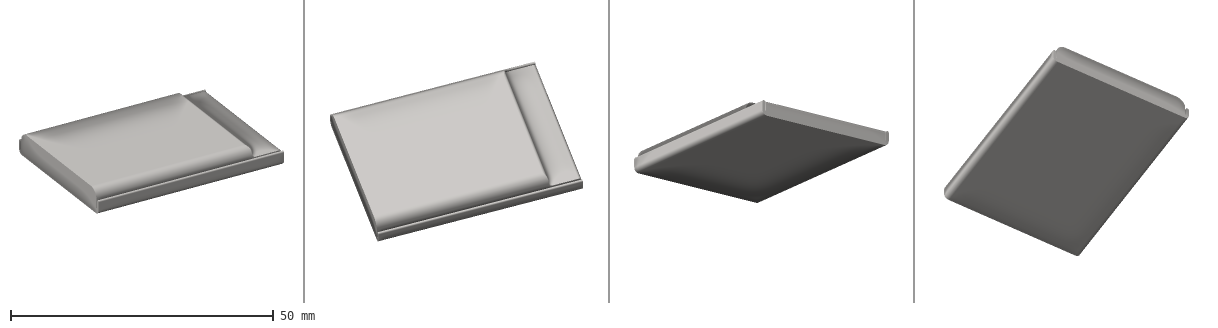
import cadquery as cq

WIDTH = 30.0
LENGTH = 41.0
HEIGHT = 5.0

RAIL_HEIGHT = 3.0
RAIL_THICKNESS = 0.6
RAIL_TIP_RADIUS = RAIL_THICKNESS / 2
SLOT_WIDTH = 0.2
SLOT_FLOOR_HEIGHT = 1.0
BODY_WIDTH = WIDTH - 2 * (RAIL_THICKNESS + SLOT_WIDTH)
BOTTOM_EDGE_RADIUS = 1.0
BODY_EDGE_RADIUS = 2.0

LEDGE_LENGTH = 6.5
LEDGE_HEIGHT = RAIL_HEIGHT
STEP_Y = LENGTH - LEDGE_LENGTH
STEP_RADIUS = 0.6
LEDGE_EDGE_RADIUS = 0.6


def make_floor_and_rails():
    """Full-length tray: rounded lower long edges and a thin round-tipped rail on each side."""
    outer_x = WIDTH / 2
    inner_x = outer_x - RAIL_THICKNESS
    tip_base = RAIL_HEIGHT - RAIL_TIP_RADIUS
    flat_x = outer_x - BOTTOM_EDGE_RADIUS
    half_profile = (
        cq.Workplane("XZ")
        .moveTo(0, 0)
        .lineTo(flat_x, 0)
        .radiusArc((outer_x, BOTTOM_EDGE_RADIUS), -BOTTOM_EDGE_RADIUS)
        .lineTo(outer_x, tip_base)
        .threePointArc((outer_x - RAIL_TIP_RADIUS, RAIL_HEIGHT), (inner_x, tip_base))
        .lineTo(inner_x, SLOT_FLOOR_HEIGHT)
        .lineTo(0, SLOT_FLOOR_HEIGHT)
        .close()
    )
    half_tray = half_profile.extrude(-LENGTH)
    return half_tray.union(half_tray.mirror("YZ"))


def make_body():
    """Raised body on the floor, rounded along its upper long edges."""
    body = cq.Workplane("XY", origin=(0, 0, SLOT_FLOOR_HEIGHT)).box(
        BODY_WIDTH, LENGTH, HEIGHT - SLOT_FLOOR_HEIGHT, centered=(True, False, False)
    )
    return body.edges("|Y and >Z").fillet(BODY_EDGE_RADIUS)


def make_ledge_cutter():
    """Space above the ledge: S-shaped step, flat ledge and its rounded outer edge."""
    step_side_profile = (
        cq.Workplane("YZ")
        .moveTo(STEP_Y - STEP_RADIUS, HEIGHT)
        .radiusArc((STEP_Y, HEIGHT - STEP_RADIUS), STEP_RADIUS)
        .lineTo(STEP_Y, LEDGE_HEIGHT + STEP_RADIUS)
        .radiusArc((STEP_Y + STEP_RADIUS, LEDGE_HEIGHT), -STEP_RADIUS)
        .lineTo(LENGTH - LEDGE_EDGE_RADIUS, LEDGE_HEIGHT)
        .radiusArc((LENGTH, LEDGE_HEIGHT - LEDGE_EDGE_RADIUS), LEDGE_EDGE_RADIUS)
        .lineTo(LENGTH, HEIGHT)
        .close()
    )
    return step_side_profile.extrude(BODY_WIDTH / 2, both=True)


stepped_body = make_body().cut(make_ledge_cutter())
result = make_floor_and_rails().union(stepped_body).clean()